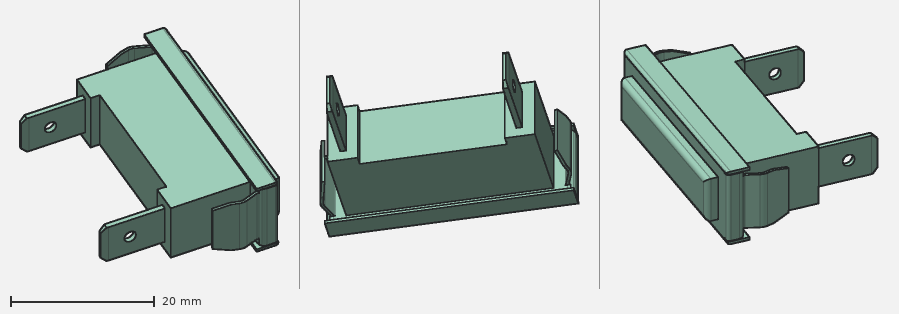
import cadquery as cq
import math


OVERALL_DEPTH = 27.08

BEZEL_LENGTH = 35.4
BEZEL_HEIGHT = 11.9
FLANGE_DEPTH = 3.42
FLANGE_THICKNESS = 0.45
END_GAP = 0.1
EDGE_RADIUS = 0.55
END_FLAT_DEPTH = 1.9
END_BEND_RADIUS = 0.8
END_TAPER_ANGLE = math.radians(50)
END_BACK_DEPTH = 2.75
END_LEDGE_WIDTH = 0.45
BACK_DEPTH = 2.92

CLIP_SPAN = 35.63
CLIP_THICKNESS = 0.43
CLIP_HEIGHT = 8.65
CLIP_TIP_HEIGHT = 7.25
CLIP_NARROWING_DEPTH = 7.25
CLIP_TIP_DEPTH = 9.8
CLIP_KNEE_DEPTH = 5.63
CLIP_KNEE_RADIUS = 1.95
CLIP_OUTWARD_ANGLE = math.radians(20)
CLIP_INWARD_ANGLE = math.radians(15)
CLIP_OUTER_ROOT_RADIUS = 0.2
CLIP_INNER_ROOT_RADIUS = 0.1

LENS_LENGTH = 29.3
LENS_HEIGHT = 6.9
LENS_PROUD = 1.92
LENS_EDGE_RADIUS = 0.82

HOUSING_LENGTH = 29.5
HOUSING_HEIGHT = 9.35
HOUSING_DEPTH = 15.3
NOTCH_LENGTH = 20.95
NOTCH_DEPTH = 1.43

TERMINAL_SPACING = 25.05
TERMINAL_THICKNESS = 0.82
TERMINAL_WIDTH = 6.3
TERMINAL_TIP_DEPTH = OVERALL_DEPTH - LENS_PROUD
TERMINAL_CORNER = 0.82
TERMINAL_BEVEL_LENGTH = 1.07
TERMINAL_TIP_THICKNESS = 0.45
TERMINAL_HOLE_DIAMETER = 1.78
TERMINAL_HOLE_DEPTH = 20.65


def box_between(x_size, z_size, back_depth, front_depth):
    """A box centred on X = Z = 0 that lies between two depths."""
    y_size = back_depth - front_depth
    return cq.Workplane("XY").box(x_size, y_size, z_size).translate((0, -front_depth - y_size / 2, 0))


def polar(start, distance, angle):
    """The point at a distance from the start, in the direction of the angle."""
    return (start[0] + distance * math.cos(angle), start[1] + distance * math.sin(angle))


def crossing(point_a, angle_a, point_b, angle_b):
    """The point where two lines, each given by a point and a direction, cross."""
    dx = point_b[0] - point_a[0]
    dy = point_b[1] - point_a[1]
    distance = (dx * math.sin(angle_b) - dy * math.cos(angle_b)) / math.sin(angle_b - angle_a)
    return polar(point_a, distance, angle_a)


def with_mirror_image(shape):
    """The shape together with its mirror image across X = 0."""
    return shape.union(shape.mirror("YZ"))


END_X = BEZEL_LENGTH / 2
END_BEND_CENTRE = (END_X - END_BEND_RADIUS, -END_FLAT_DEPTH)
TAPER_START = polar(END_BEND_CENTRE, END_BEND_RADIUS, -END_TAPER_ANGLE)
TAPER_DIRECTION = -math.pi / 2 - END_TAPER_ANGLE
LEDGE_OUTER = crossing(TAPER_START, TAPER_DIRECTION, (0, -END_BACK_DEPTH), 0)
LEDGE_INNER = (LEDGE_OUTER[0] - END_LEDGE_WIDTH, -END_BACK_DEPTH)
BACK_CORNER = (HOUSING_LENGTH / 2, -BACK_DEPTH)


def make_bezel_core():
    """Slab between the flanges, with rounded front ends and ends that taper inward at the back."""
    front_centre = (END_X - EDGE_RADIUS, -EDGE_RADIUS)
    front_middle = polar(front_centre, EDGE_RADIUS, math.radians(45))
    bend_middle = polar(END_BEND_CENTRE, END_BEND_RADIUS, -END_TAPER_ANGLE / 2)
    half = (
        cq.Workplane("XY")
        .moveTo(0, 0)
        .lineTo(END_X - EDGE_RADIUS, 0)
        .threePointArc(front_middle, (END_X, -EDGE_RADIUS))
        .lineTo(END_X, -END_FLAT_DEPTH)
        .threePointArc(bend_middle, TAPER_START)
        .lineTo(*LEDGE_OUTER)
        .lineTo(*LEDGE_INNER)
        .lineTo(*BACK_CORNER)
        .lineTo(0, -BACK_DEPTH)
        .close()
        .extrude(BEZEL_HEIGHT / 2 - FLANGE_THICKNESS, both=True)
    )
    for side in (-1, 1):
        half = half.cut(make_end_gap(side))
    return with_mirror_image(half)


def make_end_gap(side):
    """Narrow slit that keeps the bezel's +X end clear of the top (side = 1) or bottom flange."""
    slit_z = BEZEL_HEIGHT / 2 - FLANGE_THICKNESS - END_GAP / 2
    slit = box_between(END_X - LEDGE_INNER[0], END_GAP, BACK_DEPTH, 0)
    return slit.translate(((END_X + LEDGE_INNER[0]) / 2, 0, side * slit_z))


def flange_envelope(rounded_edges):
    """Block of the bezel's full height, with the chosen edges rounded."""
    block = box_between(BEZEL_LENGTH, BEZEL_HEIGHT, FLANGE_DEPTH, 0)
    return block.edges(rounded_edges).fillet(EDGE_RADIUS)


def make_flange(side):
    """Flange with a rounded front edge, at the top (side = 1) or at the bottom (side = -1)."""
    plate = box_between(BEZEL_LENGTH, FLANGE_THICKNESS, FLANGE_DEPTH, 0)
    plate = plate.translate((0, 0, side * (BEZEL_HEIGHT - FLANGE_THICKNESS) / 2))
    return plate.intersect(flange_envelope("|X and >Y"))


def make_clip():
    """Bent strip at the +X end: outward to a rounded knee, then inward to a narrower tip."""
    centre = (CLIP_SPAN / 2 - CLIP_KNEE_RADIUS, -CLIP_KNEE_DEPTH)
    inner_radius = CLIP_KNEE_RADIUS - CLIP_THICKNESS
    outer_start = polar(centre, CLIP_KNEE_RADIUS, CLIP_OUTWARD_ANGLE)
    outer_apex = polar(centre, CLIP_KNEE_RADIUS, 0)
    outer_end = polar(centre, CLIP_KNEE_RADIUS, -CLIP_INWARD_ANGLE)
    inner_start = polar(centre, inner_radius, CLIP_OUTWARD_ANGLE)
    inner_apex = polar(centre, inner_radius, 0)
    inner_end = polar(centre, inner_radius, -CLIP_INWARD_ANGLE)

    to_root = math.pi / 2 + CLIP_OUTWARD_ANGLE
    back_slope = math.atan2(BACK_CORNER[1] - LEDGE_INNER[1], BACK_CORNER[0] - LEDGE_INNER[0])
    outer_root = crossing(outer_start, to_root, TAPER_START, TAPER_DIRECTION)
    inner_root = crossing(inner_start, to_root, LEDGE_INNER, back_slope)
    root_corner = polar(inner_root, CLIP_THICKNESS, back_slope)

    to_tip = -math.pi / 2 - CLIP_INWARD_ANGLE
    tip_length = (CLIP_TIP_DEPTH + outer_end[1]) / math.cos(CLIP_INWARD_ANGLE)
    strip = (
        cq.Workplane("XY")
        .moveTo(*TAPER_START)
        .lineTo(*outer_root)
        .lineTo(*outer_start)
        .threePointArc(outer_apex, outer_end)
        .lineTo(*polar(outer_end, tip_length, to_tip))
        .lineTo(*polar(inner_end, tip_length, to_tip))
        .lineTo(*inner_end)
        .threePointArc(inner_apex, inner_start)
        .lineTo(*inner_root)
        .lineTo(*root_corner)
        .close()
        .extrude(CLIP_HEIGHT / 2, both=True)
    )
    for root, radius in ((outer_root, CLIP_OUTER_ROOT_RADIUS), (inner_root, CLIP_INNER_ROOT_RADIUS)):
        strip = strip.edges(cq.NearestToPointSelector((*root, 0))).fillet(radius)
    return strip.intersect(clip_side_outline())


def clip_side_outline():
    """Block over the +X end whose height narrows toward the tip of the clip."""
    full = CLIP_HEIGHT / 2
    tip = CLIP_TIP_HEIGHT / 2
    return (
        cq.Workplane("YZ")
        .polyline(
            [
                (0, full),
                (-CLIP_NARROWING_DEPTH, full),
                (-CLIP_TIP_DEPTH, tip),
                (-CLIP_TIP_DEPTH, -tip),
                (-CLIP_NARROWING_DEPTH, -full),
                (0, -full),
            ]
        )
        .close()
        .extrude(CLIP_SPAN)
    )


def make_bezel():
    """The bezel, with its flanges and clips as one solid."""
    top_flange = make_flange(1).intersect(flange_envelope("|Z and >Y"))
    bottom_flange = make_flange(-1)
    clips = with_mirror_image(make_clip())
    return make_bezel_core().union(top_flange).union(bottom_flange).union(clips)


def make_lens():
    """Block on the front of the bezel, with its front edges rounded."""
    block = box_between(LENS_LENGTH, LENS_HEIGHT, 0, -LENS_PROUD)
    return block.faces(">Y").edges().fillet(LENS_EDGE_RADIUS)


def make_housing():
    """Block on the back of the bezel, with a wide shallow notch between the terminals."""
    block = box_between(HOUSING_LENGTH, HOUSING_HEIGHT, HOUSING_DEPTH, BACK_DEPTH)
    notch = box_between(NOTCH_LENGTH, HOUSING_HEIGHT, HOUSING_DEPTH, HOUSING_DEPTH - NOTCH_DEPTH)
    return block.cut(notch)


def make_terminal(x):
    """Blade on the back of the housing, with cut corners, a bevelled tip and a hole."""
    blade = box_between(TERMINAL_THICKNESS, TERMINAL_WIDTH, TERMINAL_TIP_DEPTH, HOUSING_DEPTH)
    blade = blade.faces("<Y").edges("|X").chamfer(TERMINAL_CORNER)
    half_thickness = TERMINAL_THICKNESS / 2
    half_tip = TERMINAL_TIP_THICKNESS / 2
    bevel_start_y = -TERMINAL_TIP_DEPTH + TERMINAL_BEVEL_LENGTH
    bevelled = (
        cq.Workplane("XY")
        .polyline(
            [
                (-half_thickness, -HOUSING_DEPTH),
                (-half_thickness, bevel_start_y),
                (-half_tip, -TERMINAL_TIP_DEPTH),
                (half_tip, -TERMINAL_TIP_DEPTH),
                (half_thickness, bevel_start_y),
                (half_thickness, -HOUSING_DEPTH),
            ]
        )
        .close()
        .extrude(TERMINAL_WIDTH / 2, both=True)
    )
    hole = (
        cq.Workplane("YZ")
        .center(-TERMINAL_HOLE_DEPTH, 0)
        .circle(TERMINAL_HOLE_DIAMETER / 2)
        .extrude(TERMINAL_THICKNESS, both=True)
    )
    return blade.intersect(bevelled).cut(hole).translate((x, 0, 0))


bezel = make_bezel()
lens = make_lens()
housing = make_housing()
terminals = []
for side in (-1, 1):
    terminals.append(make_terminal(side * TERMINAL_SPACING / 2).val())

result = cq.Compound.makeCompound([bezel.val(), lens.val(), housing.val(), *terminals])